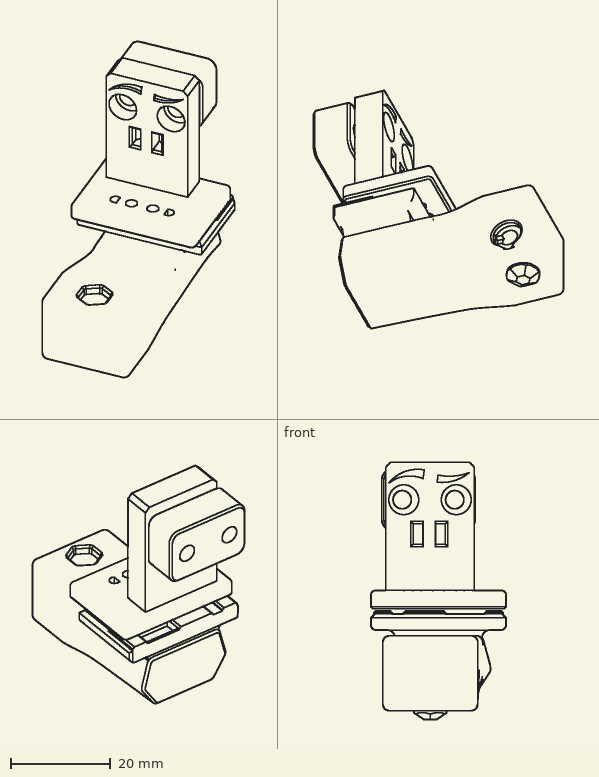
import cadquery as cq
import math


plate_width = 27.15
plate_edge = 1.0

bracket_plate_front = 20.75
bracket_plate_length = 19.15
bracket_plate_bottom = 22.2
bracket_plate_thickness = 3.7
plate_bottom_chamfer = 0.4
total_height = 51.6
upright_x = -1.7
upright_width = 17.75
upright_front = 32.25
upright_thickness = 5.95
bolt_z = 44.1
bolt_half_spacing = 5.25
bolt_hole_diameter = 3.6
bolt_head_diameter = 6.0
bolt_head_depth = 3.35
window_x = -1.85
window_z = 37.2
window_width = 2.55
window_height = 5.05
window_half_spacing = 2.5
window_rim_depth = 0.4
opening_width = 1.9
opening_height = 4.15
opening_half_spacing = 2.25
window_cylinder_radius = 3.85
brow_depth = 0.75
vent_y = 25.85
round_vent_diameter = 2.35
round_vent_x = 2.3
flat_vent_diameter = 2.15
flat_vent_x = 5.8
flat_vent_inner_reach = 0.55

cap_x = -2.0
cap_width = 18.8
cap_height = 12.4
cap_front = 39.05
cap_length = 7.9
cap_corner_radius = 2.2
cap_edge_chamfer = 0.45

block_x = -1.65
block_width = 19.1
block_length = 10.75
block_bottom = 1.75
block_top = 16.8
block_radius = 1.4
straight_side_z = 15.1
arm_end = 41.85
arm_plate_front = 24.45
arm_plate_bottom = 17.9
arm_plate_top = 21.2
arm_plate_chamfer = 0.8
arm_plate_radius = 1.15
arm_rear_chamfer = 0.5
pad_height = 0.55
pad_chamfer = 0.4
pad_front = 33.6
side_pad_width = 3.7
side_pad_x = 11.15
middle_pad_width = 8.45
middle_pad_x = -2.8
pocket_length = 3.6
pocket_depth = 1.55
neck_half_width = 8.75
neck_front = 27.0
neck_flare = 1.45

insert_y = 5.5
socket_flats = 5.8
socket_corners = 6.4
socket_rim = 0.45
recess_depth = 1.8
head_flats = 6.55
head_corners = 6.7
head_taper_start = 1.35
head_tip_flats = 2.6
side_hole_z = 4.7
side_hole_diameter = 3.6
side_counterbore_diameter = 6.0
side_counterbore_depth = 1.4
side_counterbore_chamfer = 0.35
side_notch_length = 2.85
side_notch_height = 2.05
side_notch_depth = 2.6


def box(width, length, height, x, y, z):
    """Box centred on x, starting at depth y and height z."""
    return cq.Workplane("XY").box(width, length, height, centered=(True, False, False)).translate((x, y, z))


def cylinder_along_y(diameter, length, x, y, z):
    """Cylinder that starts at depth y and runs back."""
    return cq.Workplane(cq.Solid.makeCylinder(diameter / 2, length, cq.Vector(x, y, z), cq.Vector(0, 1, 0)))


def cylinder_along_x(diameter, length, x, y, z):
    """Cylinder that starts at x and runs to the right."""
    return cq.Workplane(cq.Solid.makeCylinder(diameter / 2, length, cq.Vector(x, y, z), cq.Vector(1, 0, 0)))



def window(side):
    """Window with a sloping rim and a hollow round floor, left (-1) or right (1) of the middle."""
    rim_x = window_x + side * window_half_spacing
    opening_x = window_x + side * opening_half_spacing
    opening = box(
        opening_width,
        upright_thickness,
        opening_height,
        opening_x,
        upright_front,
        window_z - opening_height / 2,
    )
    hollow = (
        cq.Workplane("XY")
        .circle(window_cylinder_radius)
        .extrude(window_height)
        .translate((window_x, upright_front, window_z - window_height / 2))
    )
    rim = (
        cq.Workplane("XZ", origin=(rim_x, upright_front, window_z))
        .rect(window_width, window_height)
        .workplane(offset=-window_rim_depth)
        .center(opening_x - rim_x, 0)
        .rect(opening_width, opening_height)
        .loft(ruled=True)
    )
    return opening.intersect(hollow).union(rim)


def brow(inner, inner_low, outer, upper_middle, lower_middle):
    """Shallow curved groove above an eye, from its blunt inner end to its pointed outer end."""
    return (
        cq.Workplane("XZ", origin=(upright_x, upright_front, bolt_z))
        .moveTo(*inner)
        .threePointArc(upper_middle, outer)
        .threePointArc(lower_middle, inner_low)
        .close()
        .extrude(-brow_depth)
    )


def vents():
    """Row of two round holes and two smaller ones that are flat on their inner side."""
    row = cq.Workplane("XY", origin=(0, vent_y, bracket_plate_bottom))
    holes = row.pushPoints([(-round_vent_x, 0), (round_vent_x, 0)]).circle(round_vent_diameter / 2)
    holes = holes.extrude(bracket_plate_thickness)
    for side in (-1, 1):
        vent = row.center(side * flat_vent_x, 0).circle(flat_vent_diameter / 2)
        vent = vent.extrude(bracket_plate_thickness)
        flat_side = box(
            flat_vent_diameter,
            flat_vent_diameter,
            bracket_plate_thickness,
            side * (flat_vent_x - flat_vent_inner_reach + flat_vent_diameter / 2),
            vent_y - flat_vent_diameter / 2,
            bracket_plate_bottom,
        )
        holes = holes.union(vent.intersect(flat_side))
    return holes


def make_bracket():
    plate = box(
        plate_width,
        bracket_plate_length,
        bracket_plate_thickness,
        0,
        bracket_plate_front,
        bracket_plate_bottom,
    )
    plate = plate.edges("|Z or >Z").fillet(plate_edge).faces("<Z").edges().chamfer(plate_bottom_chamfer)

    upright_bottom = bracket_plate_bottom + bracket_plate_thickness / 2
    upright = box(
        upright_width,
        upright_thickness,
        total_height - upright_bottom,
        upright_x,
        upright_front,
        upright_bottom,
    )
    upright = upright.edges("|Y and >Z").chamfer(plate_edge)
    bracket = plate.union(upright).cut(vents())

    for side in (-1, 1):
        bolt_x = cap_x + side * bolt_half_spacing
        head_x = upright_x + side * bolt_half_spacing
        hole = cylinder_along_y(bolt_hole_diameter, upright_thickness, bolt_x, upright_front, bolt_z)
        head = cylinder_along_y(bolt_head_diameter, bolt_head_depth, head_x, upright_front, bolt_z)
        bracket = bracket.cut(hole).cut(head).cut(window(side))

    raised_brow = brow((-1.15, 6.0), (-1.4, 4.25), (-8.25, 3.35), (-4.65, 5.8), (-4.4, 4.75))
    lowered_brow = brow((1.6, 4.95), (1.45, 3.5), (7.85, 5.4), (4.9, 4.75), (4.9, 3.8))
    return bracket.cut(raised_brow).cut(lowered_brow)



def make_cap():
    cap = box(cap_width, cap_length, cap_height, cap_x, cap_front, bolt_z - cap_height / 2)
    cap = cap.edges("|Y").fillet(cap_corner_radius).faces("<Y or >Y").edges().chamfer(cap_edge_chamfer)
    for side in (-1, 1):
        bolt_x = cap_x + side * bolt_half_spacing
        cap = cap.cut(cylinder_along_y(bolt_hole_diameter, cap_length, bolt_x, cap_front, bolt_z))
    return cap



def rounded_hexagon(flats, corners, bottom, top):
    """Upright hexagonal prism with flats facing left and right, and its corners turned round."""
    height = top - bottom
    base = cq.Workplane("XY", origin=(block_x, insert_y, bottom))
    hexagon = base.polygon(6, flats, circumscribed=True).extrude(height)
    return hexagon.intersect(base.circle(corners / 2).extrude(height))


def make_insert():
    shank = rounded_hexagon(socket_flats, socket_corners, block_bottom, block_top - recess_depth)
    head = rounded_hexagon(head_flats, head_corners, head_taper_start, block_bottom)
    taper = (
        cq.Workplane("XY", origin=(block_x, insert_y, 0))
        .polygon(6, head_tip_flats, circumscribed=True)
        .workplane(offset=head_taper_start)
        .polygon(6, head_flats, circumscribed=True)
        .loft(ruled=True)
    )
    tip = taper.intersect(rounded_hexagon(head_flats, head_corners, 0, head_taper_start))
    return shank.union(head).union(tip)



def arm_section(y, left, right, bottom, round_crease=False):
    """Closed section of the arm at depth y, with rounded top and bottom corners and sharp or rounded creases.

    Each side lists its x at the top, at the crease and at the bottom, and the crease height.
    """
    left_top, left_crease, left_bottom, left_z = left
    right_top, right_crease, right_bottom, right_z = right
    corners = [
        (left_top, block_top, True),
        (right_top, block_top, True),
        (right_crease, right_z, round_crease),
        (right_bottom, bottom, True),
        (left_bottom, bottom, True),
        (left_crease, left_z, round_crease),
    ]
    points = [cq.Vector(x, y, z) for x, z, _ in corners]
    edges = []
    stops = []
    for i, (_, _, is_round) in enumerate(corners):
        corner = points[i]
        to_last = (points[i - 1] - corner).normalized()
        to_next = (points[(i + 1) % len(points)] - corner).normalized()
        if not is_round:
            stops.append((corner, corner))
            continue
        half_angle = to_last.getAngle(to_next) / 2
        setback = block_radius / math.tan(half_angle)
        to_middle = block_radius / math.sin(half_angle) - block_radius
        middle = corner + (to_last + to_next).normalized() * to_middle
        start = corner + to_last * setback
        end = corner + to_next * setback
        edges.append((i, cq.Edge.makeThreePointArc(start, middle, end)))
        stops.append((start, end))
    for i, (_, end) in enumerate(stops):
        edges.append((i + 0.5, cq.Edge.makeLine(end, stops[(i + 1) % len(stops)][0])))
    return cq.Wire.assembleEdges([edge for _, edge in sorted(edges, key=lambda item: item[0])])


def arm_body():
    """Block at the front, and the swept body that widens along a crease towards the rear."""
    block = box(block_width, block_length, block_top - block_bottom, block_x, 0, block_bottom)
    block = block.edges("not >Y").fillet(block_radius)

    block_left = block_x - block_width / 2
    block_right = block_x + block_width / 2
    neck_side = neck_half_width
    crease_start = (
        22.1,
        (-neck_side, -8.9, -8.65, straight_side_z),
        (neck_side, 8.9, 7.85, straight_side_z),
        3.8,
    )
    front_sections = [
        arm_section(
            block_length,
            (block_left, block_left, block_left, straight_side_z),
            (block_right, block_right, block_right, straight_side_z),
            block_bottom,
        ),
        arm_section(15.5, (-9.8, -9.8, -10.05, straight_side_z), (8.1, 8.1, 7.9, straight_side_z), 2.75),
        arm_section(18.6, (-8.95, -9.0, -9.4, straight_side_z), (8.4, 8.45, 7.9, straight_side_z), 3.4),
        arm_section(*crease_start),
    ]
    rear_sections = [
        arm_section(*crease_start, True),
        arm_section(26.85, (-neck_side, -9.55, -7.95, 12.7), (neck_side, 9.55, 7.75, 12.7), 4.2, True),
        arm_section(34.05, (-neck_side, -10.25, -7.45, 11.15), (neck_side, 10.25, 7.45, 11.15), 4.5, True),
        arm_section(
            arm_end - arm_rear_chamfer,
            (-neck_side, -10.6, -7.2, 9.9),
            (neck_side, 10.6, 7.2, 9.9),
            4.8,
            True,
        ),
    ]
    front_body = cq.Workplane(cq.Solid.makeLoft(front_sections))
    rear_body = cq.Workplane(cq.Solid.makeLoft(rear_sections))

    rear_section = rear_sections[-1]
    end_section = rear_section.offset2D(-arm_rear_chamfer)[0].translate(cq.Vector(0, arm_rear_chamfer, 0))
    rear_taper = cq.Workplane(cq.Solid.makeLoft([rear_section, end_section], True))
    return block.union(front_body.union(rear_body)).union(rear_taper)


def neck():
    """Short neck that flares out under the arm plate, from below the body's rounded top edges."""
    neck_bottom = block_top - block_radius
    flare_bottom = arm_plate_bottom - neck_flare
    flare_top_x = neck_half_width + neck_flare
    flare_inset = neck_flare * (1 - math.sqrt(0.5))
    flare_middle_x = neck_half_width + flare_inset
    flare_middle_z = arm_plate_bottom - flare_inset
    return (
        cq.Workplane("XZ", origin=(0, neck_front, 0))
        .moveTo(-neck_half_width, neck_bottom)
        .lineTo(neck_half_width, neck_bottom)
        .lineTo(neck_half_width, flare_bottom)
        .threePointArc((flare_middle_x, flare_middle_z), (flare_top_x, arm_plate_bottom))
        .lineTo(flare_top_x, arm_plate_bottom + arm_plate_radius)
        .lineTo(-flare_top_x, arm_plate_bottom + arm_plate_radius)
        .lineTo(-flare_top_x, arm_plate_bottom)
        .threePointArc((-flare_middle_x, flare_middle_z), (-neck_half_width, flare_bottom))
        .close()
        .extrude(neck_front - arm_end + arm_rear_chamfer)
    )


def arm_plate():
    plate = box(
        plate_width,
        arm_end - arm_plate_front,
        arm_plate_top - arm_plate_bottom,
        0,
        arm_plate_front,
        arm_plate_bottom,
    )
    plate = plate.edges("|Z and >Y").chamfer(arm_rear_chamfer)
    plate = plate.edges("<Z and (<X or >X or <Y)").fillet(arm_plate_radius)
    plate = plate.edges(">Z and (<X or >X or <Y)").chamfer(arm_plate_chamfer)
    return plate


def pads():
    """Three low pads along the rear of the arm plate."""
    low_pads = cq.Workplane("XY")
    for x, width in (
        (-side_pad_x, side_pad_width),
        (middle_pad_x, middle_pad_width),
        (side_pad_x, side_pad_width),
    ):
        pad_bottom = arm_plate_top - arm_plate_chamfer
        pad = box(width, arm_end - pad_front, arm_plate_chamfer + pad_height, x, pad_front, pad_bottom)
        low_pads = low_pads.add(pad.faces(">Z").edges("<X or >X or <Y").chamfer(pad_chamfer))
    return low_pads.combine()


def pocket():
    """Pocket between the middle pad and the right pad, with a rear wall sloping at 45 degrees."""
    left = middle_pad_x + middle_pad_width / 2
    right = side_pad_x - side_pad_width / 2
    rear = arm_end - arm_rear_chamfer
    front = rear - pocket_length
    floor_z = arm_plate_top - pocket_depth
    return (
        cq.Workplane("YZ", origin=(left, 0, 0))
        .moveTo(front, arm_plate_top)
        .lineTo(rear, arm_plate_top)
        .lineTo(rear - pocket_depth, floor_z)
        .lineTo(front, floor_z)
        .close()
        .extrude(right - left)
    )


def insert_socket():
    """Hexagonal hole through the block with a chamfered rim at the top."""
    socket = rounded_hexagon(socket_flats, socket_corners, block_bottom, block_top)
    rim_bottom = cq.Vector(block_x, insert_y, block_top - socket_rim)
    rim = (
        cq.Workplane("XY", origin=rim_bottom.toTuple())
        .polygon(6, socket_flats, circumscribed=True)
        .workplane(offset=socket_rim)
        .polygon(6, socket_flats + 2 * socket_rim, circumscribed=True)
        .loft(ruled=True)
    )
    corner_radius = socket_corners / 2
    rim_corners = cq.Solid.makeCone(corner_radius, corner_radius + socket_rim, socket_rim, rim_bottom)
    return socket.union(rim.intersect(cq.Workplane(rim_corners)))


def side_hole():
    """Hole from the left face to the insert, with a chamfered counterbore and a notch at its rear."""
    face_x = block_x - block_width / 2
    reach = (block_width - socket_flats) / 2
    hole = cylinder_along_x(side_hole_diameter, reach, face_x, insert_y, side_hole_z)
    counterbore = cylinder_along_x(
        side_counterbore_diameter, side_counterbore_depth, face_x, insert_y, side_hole_z
    )
    rim = cq.Workplane(
        cq.Solid.makeCone(
            side_counterbore_diameter / 2 + side_counterbore_chamfer,
            side_counterbore_diameter / 2,
            side_counterbore_chamfer,
            cq.Vector(face_x, insert_y, side_hole_z),
            cq.Vector(1, 0, 0),
        )
    )
    notch = box(
        side_notch_depth,
        side_notch_length,
        side_notch_height,
        face_x + side_notch_depth / 2,
        insert_y,
        side_hole_z - side_notch_height / 2,
    )
    return hole.union(counterbore).union(rim).union(notch)


def make_arm():
    arm = arm_body().union(neck()).union(arm_plate()).union(pads())
    return arm.cut(pocket()).cut(insert_socket()).cut(side_hole())


bracket = make_bracket()
cap = make_cap()
insert = make_insert()
arm = make_arm()

result = cq.Compound.makeCompound([bracket.val(), cap.val(), arm.val(), insert.val()])